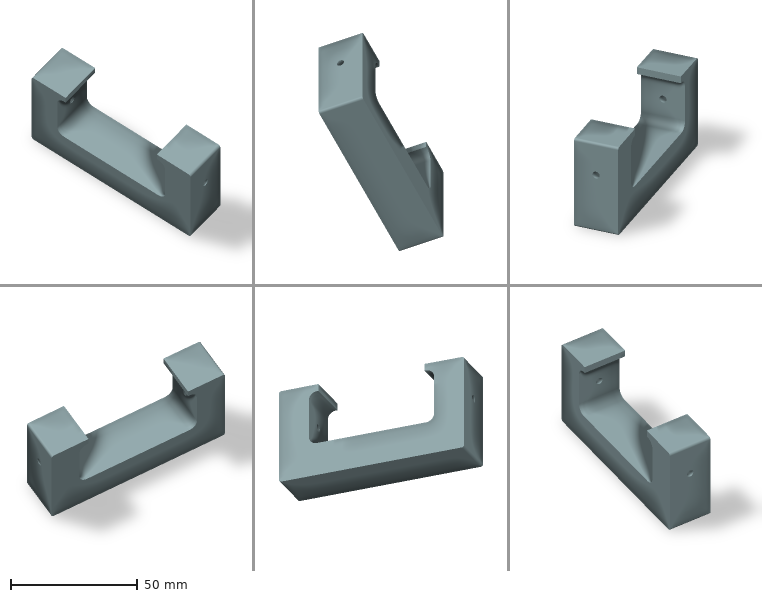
import cadquery as cq

length = 80.0
width = 19.0
height = 40.0
outer_radius = 1.0
top_drop = 0.1

cavity_length = 54.2
opening_length = 45.9
floor_height = 14.1
lip_thickness = 3.0
cavity_radius = 3.5

hole_diameter = 3.0
hole_height = 25.5

half_length = length / 2
half_opening = opening_length / 2
lip_underside = height - lip_thickness


def make_block():
    """Solid block whose top slopes down to both ends, with rounded end edges."""
    outline = [
        (-half_length, 0),
        (half_length, 0),
        (half_length, height - top_drop),
        (half_opening, height),
        (-half_opening, height),
        (-half_length, height - top_drop),
    ]
    block = cq.Workplane("XZ").polyline(outline).close().extrude(width / 2, both=True)
    end_edges = block.faces("<X or >X").edges("|Y")
    return end_edges.fillet(outer_radius)


def make_cavity():
    """Rounded cavity joined to the narrower opening above it."""
    cavity_height = lip_underside - floor_height
    cavity = (
        cq.Workplane("XY")
        .box(cavity_length, width, cavity_height, centered=(True, True, False))
        .edges("|Y")
        .fillet(cavity_radius)
        .translate((0, 0, floor_height))
    )
    opening_height = height - floor_height - cavity_radius
    opening = (
        cq.Workplane("XY")
        .box(opening_length, width, opening_height, centered=(True, True, False))
        .translate((0, 0, floor_height + cavity_radius))
    )
    return cavity.union(opening)


def make_cross_hole():
    """Cylinder along X that passes through both arms."""
    return (
        cq.Workplane("YZ")
        .center(0, hole_height)
        .circle(hole_diameter / 2)
        .extrude(half_length, both=True)
    )


result = make_block().cut(make_cavity()).cut(make_cross_hole())